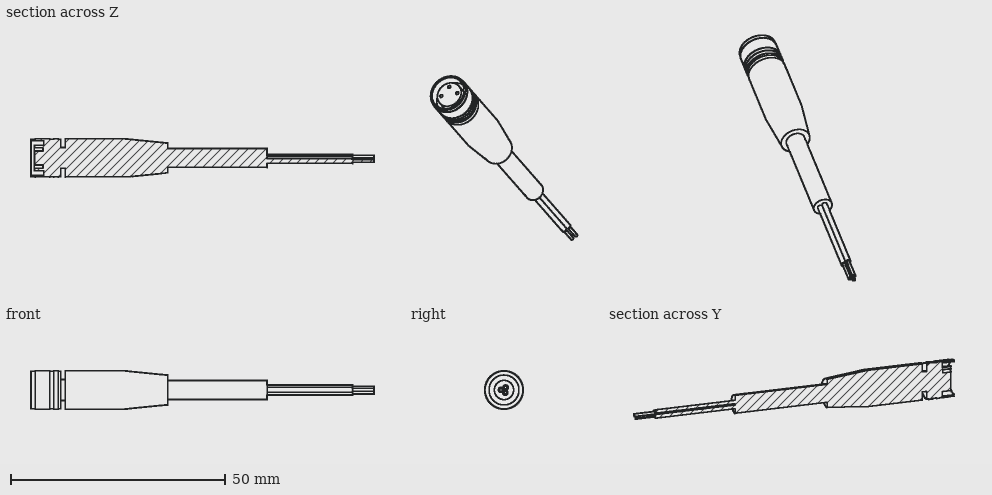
import cadquery as cq
import math

rim_end = 1.0
groove_start = 4.4
groove_end = 5.4
shoulder_start = 6.4
coupling_end = 7.0
body_start = 8.0
body_end = 22.0
sleeve_end = 32.0
total_length = 80.12
conductor_length = 5.0
wire_length = 20.0
insulation_end = total_length - conductor_length
jacket_end = insulation_end - wire_length

outer_diameter = 9.0
relief_diameter = 8.8
neck_diameter = 5.0
sleeve_tip_diameter = 7.0
jacket_diameter = 4.5

socket_diameter = 8.0
socket_depth = 3.0
insert_diameter = 6.0
insert_length = 2.2
contact_diameter = 0.7
contact_depth = 2.0
contact_radius = 2.0
contact_angles = (0, 90, 180)

wire_diameter = 1.2
conductor_diameter = 0.7
wire_circle_radius = 0.69
wire_start_angle = 57
wire_count = 3


def rod(start, end, diameter, center=(0, 0)):
    """Cylinder along X from start to end, centred at (y, z)."""
    return (
        cq.Workplane("YZ", origin=(start, center[0], center[1]))
        .circle(diameter / 2)
        .extrude(end - start)
    )


def polar_point(radius, angle):
    """(y, z) position at an angle in degrees from +Y toward +Z."""
    return (
        radius * math.cos(math.radians(angle)),
        radius * math.sin(math.radians(angle)),
    )


def turned_body():
    """Coupling, neck, grip, tapered sleeve and cable jacket as one revolved profile."""
    outer = outer_diameter / 2
    relief = relief_diameter / 2
    neck = neck_diameter / 2
    tip = sleeve_tip_diameter / 2
    jacket = jacket_diameter / 2
    profile = [
        (0, 0),
        (0, relief),
        (rim_end, relief),
        (rim_end, outer),
        (groove_start, outer),
        (groove_start, relief),
        (groove_end, relief),
        (groove_end, outer),
        (shoulder_start, outer),
        (shoulder_start, relief),
        (coupling_end, relief),
        (coupling_end, neck),
        (body_start, neck),
        (body_start, outer),
        (body_end, outer),
        (sleeve_end, tip),
        (sleeve_end, jacket),
        (jacket_end, jacket),
        (jacket_end, 0),
    ]
    return cq.Workplane("XY").polyline(profile).close().revolve(360, (0, 0, 0), (1, 0, 0))


def contact_socket(body):
    """Bore the socket, then stand the contact insert with its holes on the floor."""
    insert_face = socket_depth - insert_length
    body = body.cut(rod(0, socket_depth, socket_diameter))
    body = body.union(rod(insert_face, socket_depth, insert_diameter))
    for angle in contact_angles:
        center = polar_point(contact_radius, angle)
        body = body.cut(rod(insert_face, insert_face + contact_depth, contact_diameter, center))
    return body


def add_wires(body):
    """Run each insulated wire out of the jacket and its bare conductor out of the wire."""
    for index in range(wire_count):
        center = polar_point(wire_circle_radius, wire_start_angle + index * 360 / wire_count)
        body = body.union(rod(jacket_end, insulation_end, wire_diameter, center))
        body = body.union(rod(insulation_end, total_length, conductor_diameter, center))
    return body


result = add_wires(contact_socket(turned_body()))